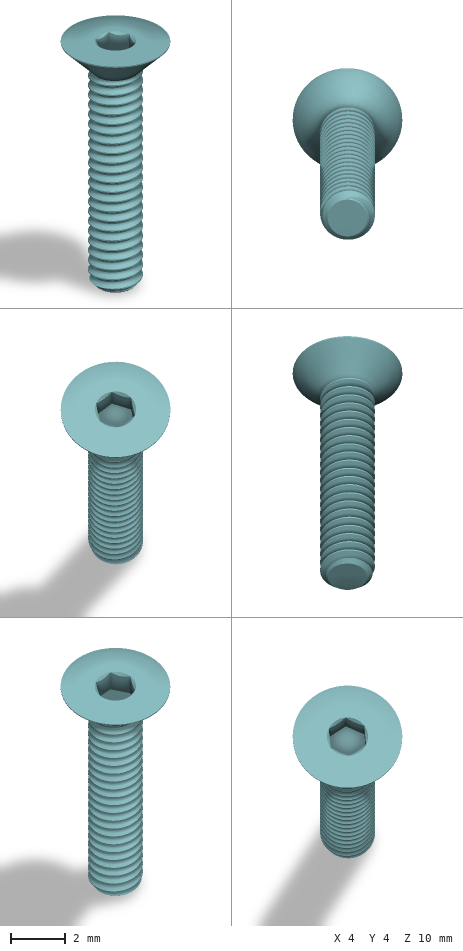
import cadquery as cq
import math

length = 10.0

head_diameter = 4.0
rim_height = 0.05
cone_end_radius = 0.8

thread_diameter = 2.0
pitch = 0.4
flank_slope = math.tan(math.radians(30))
root_depth_ratio = 1.2269
root_diameter = thread_diameter - root_depth_ratio * pitch
crest_width = pitch / 8
first_crest_height = 0.34
turns_below_tip = 2
turns = 24
tip_chamfer = 0.28
cutter_clearance = 0.1

socket_flats = 1.3
socket_depth = 0.87
socket_corners = socket_flats / math.cos(math.radians(30))
socket_chamfer = (socket_corners - socket_flats) / 2

head_radius = head_diameter / 2
thread_radius = thread_diameter / 2
root_radius = root_diameter / 2
cone_end_height = length - rim_height - (head_radius - cone_end_radius)


def revolved(points):
    """Turn an outline of (radius, height) points about the Z axis."""
    return cq.Workplane("XZ").polyline(points).close().revolve(360, (0, 0), (0, 1))


def head():
    return revolved([
        (0, cone_end_height),
        (cone_end_radius, cone_end_height),
        (head_radius, length - rim_height),
        (head_radius, length),
        (0, length),
    ])


def threaded_rod():
    """Right-handed threaded rod that starts below the tip and ends inside the head."""
    start = first_crest_height - turns_below_tip * pitch
    crest_half = crest_width / 2
    root_half = crest_half + (thread_radius - root_radius) * flank_slope
    profile = [
        (root_radius, start - root_half),
        (thread_radius, start - crest_half),
        (thread_radius, start + crest_half),
        (root_radius, start + root_half),
        (root_radius, start - root_half + pitch),
    ]
    helices = [
        cq.Wire.makeHelix(pitch, pitch, radius, center=cq.Vector(0, 0, height)).Edges()[0]
        for radius, height in profile
    ]
    one_turn = [cq.Face.makeRuledSurface(lower, upper) for lower, upper in zip(helices, helices[1:])]

    bottom = profile[0][1]
    axis_step = cq.Edge.makeLine(cq.Vector(0, 0, bottom), cq.Vector(0, 0, bottom + pitch))
    ramp = cq.Face.makeRuledSurface(axis_step, helices[0])
    step_outline = [(0, bottom)] + profile + [(0, bottom + pitch)]
    step_corners = [cq.Vector(radius, 0, height) for radius, height in step_outline]
    step = cq.Face.makeFromWires(cq.Wire.makePolygon(step_corners, close=True))

    faces = []
    for turn in range(turns):
        faces += [face.translate(cq.Vector(0, 0, turn * pitch)) for face in one_turn]
    for end_turn in (0, turns):
        faces += [face.translate(cq.Vector(0, 0, end_turn * pitch)) for face in (ramp, step)]
    return cq.Workplane(obj=cq.Solid.makeSolid(cq.Shell.makeShell(faces)).fix())


def tip_cutter():
    """Everything below the flat tip and outside its 45 degree chamfer."""
    reach = thread_radius + cutter_clearance
    tip_radius = thread_radius - tip_chamfer
    return revolved([
        (0, 0),
        (tip_radius, 0),
        (reach, reach - tip_radius),
        (reach, -reach),
        (0, -reach),
    ])


def socket():
    hexagon = (
        cq.Workplane("XY", origin=(0, 0, length))
        .transformed(rotate=(0, 0, 90))
        .polygon(6, socket_corners)
        .extrude(-socket_depth)
    )
    corner_radius = socket_corners / 2
    lead_in = revolved([
        (0, length),
        (corner_radius, length),
        (corner_radius - socket_chamfer, length - socket_chamfer),
        (0, length - socket_chamfer),
    ])
    return hexagon.union(lead_in)


result = threaded_rod().cut(tip_cutter()).union(head()).cut(socket())